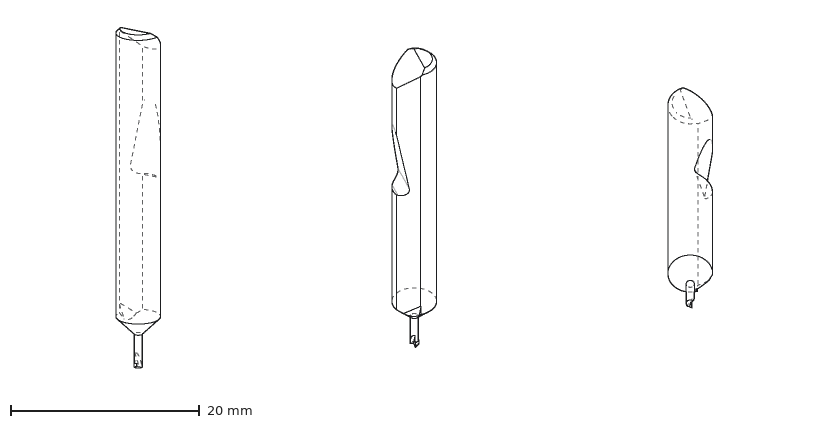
import cadquery as cq
import math

length = 38.1
shank_radius = 2.38
neck_radius = 0.44
neck_bottom = 0.1
cone_bottom = 3.8
cone_top = cone_bottom + shank_radius - neck_radius
top_chamfer = 0.45

oversize = 2 * length

flat_distance = 2.0
flat_angle = 143.5

slant_start_y = -0.55

notch_radius = 1.03
notch_center_y = 2.15
notch_center_z = 22.1
notch_top_z = 29.8

rake_y = 0.057
relief_top_z = 6.8
relief_bottom_z = 1.52
relief_x_per_y = 0.4

tip_x = -0.55
head_right_x = 0.08
head_top = 0.6
head_back_y = -0.45
head_corner_x = -0.25
end_clearance_slope = 0.25


def make_body():
    """Revolved shank with chamfered top, cone and thin neck."""
    return (
        cq.Workplane("XZ")
        .moveTo(0, neck_bottom)
        .lineTo(neck_radius, neck_bottom)
        .lineTo(neck_radius, cone_bottom)
        .lineTo(shank_radius, cone_top)
        .lineTo(shank_radius, length - top_chamfer)
        .lineTo(shank_radius - top_chamfer, length)
        .lineTo(0, length)
        .close()
        .revolve(360, (0, 0, 0), (0, 1, 0))
    )


def outer_half_space(point, normal):
    """Large block on the side of a plane that its normal points to."""
    plane = cq.Plane(origin=point, normal=normal)
    return cq.Workplane(plane).rect(oversize, oversize).extrude(oversize)


def make_flat_cutter():
    """Block outside the flat that runs along the shank."""
    angle = math.radians(flat_angle)
    normal = (math.cos(angle), math.sin(angle), 0)
    point = (flat_distance * normal[0], flat_distance * normal[1], 0)
    return outer_half_space(point, normal)


def make_notch_cutter():
    """Sloped notch whose long side runs tangent into its rounded floor."""
    offset_y = shank_radius - notch_center_y
    offset_z = notch_top_z - notch_center_z
    distance = math.hypot(offset_y, offset_z)
    tangent_angle = math.atan2(offset_z, offset_y) + math.acos(notch_radius / distance)
    middle_angle = (tangent_angle + 1.5 * math.pi) / 2

    def floor_point(angle):
        return (
            notch_center_y + notch_radius * math.cos(angle),
            notch_center_z + notch_radius * math.sin(angle),
        )

    floor_bottom_z = notch_center_z - notch_radius
    clear_distance = 2 * shank_radius
    return (
        cq.Workplane("YZ")
        .moveTo(shank_radius, notch_top_z)
        .lineTo(*floor_point(tangent_angle))
        .threePointArc(floor_point(middle_angle), (notch_center_y, floor_bottom_z))
        .lineTo(clear_distance, floor_bottom_z)
        .lineTo(clear_distance, notch_top_z)
        .close()
        .extrude(clear_distance, both=True)
    )


def make_relief_cutter():
    """Chip space bounded by the rake face and a plane leaning along Z."""
    x_per_z = (neck_radius - shank_radius) / (relief_top_z - relief_bottom_z)
    point = (-neck_radius, rake_y, relief_bottom_z)
    leaning_side = outer_half_space(point, (-1, relief_x_per_y, x_per_z))
    return leaning_side.intersect(outer_half_space((0, rake_y, 0), (0, 1, 0)))


def make_head():
    """Cutting head with its point at the rake face and clearance below."""
    outline = [
        (tip_x, rake_y),
        (head_corner_x, head_back_y),
        (head_right_x, head_back_y),
        (head_right_x, rake_y),
    ]
    head = cq.Workplane("XY").polyline(outline).close().extrude(head_top)
    clearance_normal = (end_clearance_slope, -end_clearance_slope, -1)
    return head.cut(outer_half_space((tip_x, rake_y, 0), clearance_normal))


result = (
    make_body()
    .cut(make_flat_cutter())
    .cut(outer_half_space((0, slant_start_y, length), (0, 1, 1)))
    .cut(make_notch_cutter())
    .cut(make_relief_cutter())
    .union(make_head())
)